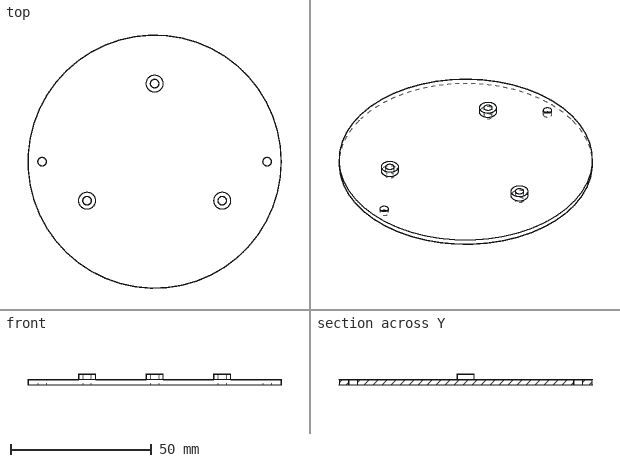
import cadquery as cq

disc_diameter = 90.0
disc_thickness = 2.0
boss_diameter = 6.0
boss_height = 2.0
hole_diameter = 3.0
boss_circle_radius = 27.7
boss_count = 3
first_boss_angle = 90.0
edge_hole_offset = 40.0

total_height = disc_thickness + boss_height


def boss_centers(plane):
    """Place the bosses evenly around the disc axis, the first one on +Y."""
    return plane.polarArray(boss_circle_radius, first_boss_angle, 360, boss_count)


disc = cq.Workplane("XY").circle(disc_diameter / 2).extrude(disc_thickness)

bosses = boss_centers(cq.Workplane("XY")).circle(boss_diameter / 2).extrude(total_height)

boss_holes = boss_centers(cq.Workplane("XY")).circle(hole_diameter / 2).extrude(total_height)
edge_holes = (
    cq.Workplane("XY")
    .pushPoints([(-edge_hole_offset, 0), (edge_hole_offset, 0)])
    .circle(hole_diameter / 2)
    .extrude(disc_thickness)
)

result = disc.union(bosses).cut(boss_holes).cut(edge_holes)